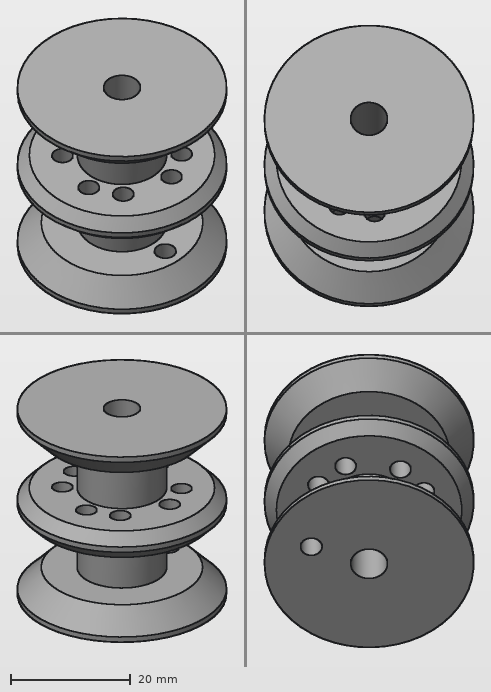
import cadquery as cq

flange_radius = 35.0 / 2
core_radius = 15.0 / 2
bore_diameter = 6.15
flange_thickness = 5.0
drum_length = 10.0
rim_width = 1.0

end_bevel = flange_thickness - rim_width
middle_bevel = (flange_thickness - rim_width) / 2

middle_bottom = flange_thickness + drum_length
middle_top = middle_bottom + flange_thickness
upper_bottom = middle_top + drum_length
total_height = upper_bottom + flange_thickness

pair_hole_diameter = 3.5
pair_offset = 9.5
pair_spacing = 6.0
pair_count = 4

anchor_hole_diameter = 3.6
anchor_x = 9.0
anchor_y = -5.0


def make_spool():
    """Revolve the half section of the core and its three flanges about Z."""
    end_face_radius = flange_radius - end_bevel
    middle_face_radius = flange_radius - middle_bevel
    half_section = [
        (0, 0),
        (flange_radius, 0),
        (flange_radius, rim_width),
        (end_face_radius, flange_thickness),
        (core_radius, flange_thickness),
        (core_radius, middle_bottom),
        (middle_face_radius, middle_bottom),
        (flange_radius, middle_bottom + middle_bevel),
        (flange_radius, middle_top - middle_bevel),
        (middle_face_radius, middle_top),
        (core_radius, middle_top),
        (core_radius, upper_bottom),
        (end_face_radius, upper_bottom),
        (flange_radius, total_height - rim_width),
        (flange_radius, total_height),
        (0, total_height),
    ]
    return cq.Workplane("XZ").polyline(half_section).close().revolve(360, (0, 0), (0, 1))


def hole_cutter(points, diameter, bottom, height):
    """Vertical cylinders that cut round holes at the given points."""
    return cq.Workplane("XY", origin=(0, 0, bottom)).pushPoints(points).circle(diameter / 2).extrude(height)


def make_bore():
    """Axle bore through the full height."""
    return hole_cutter([(0, 0)], bore_diameter, 0, total_height)


def make_paired_holes():
    """One pair beside +X, repeated around the axis."""
    pair_points = [(pair_offset, side * pair_spacing / 2) for side in (-1, 1)]
    pair = hole_cutter(pair_points, pair_hole_diameter, middle_bottom, flange_thickness)
    holes = cq.Workplane("XY")
    for index in range(pair_count):
        turn = index * 360 / pair_count
        holes = holes.union(pair.rotate((0, 0, 0), (0, 0, 1), turn))
    return holes


def make_anchor_hole():
    """Single hole through the bottom flange."""
    return hole_cutter([(anchor_x, anchor_y)], anchor_hole_diameter, 0, flange_thickness)


result = make_spool().cut(make_bore()).cut(make_paired_holes()).cut(make_anchor_hole())